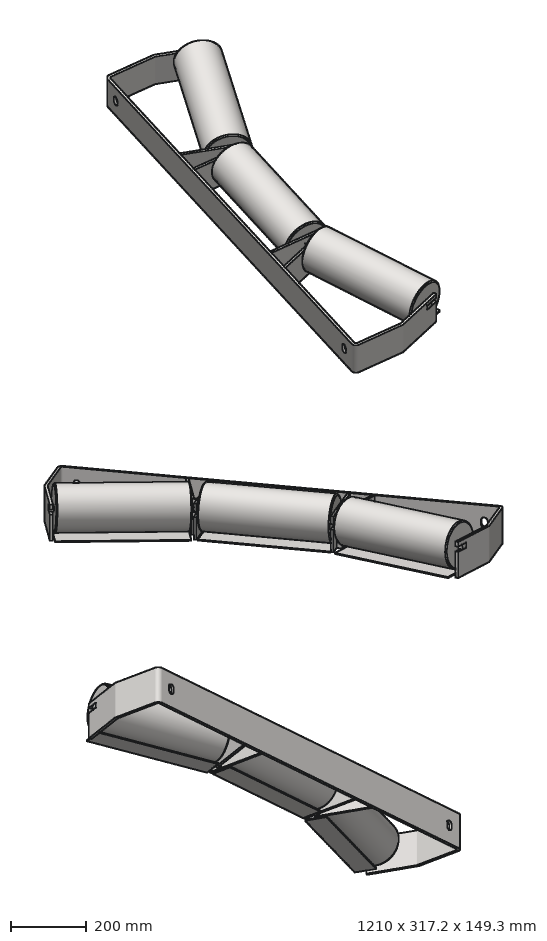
import cadquery as cq
import math

frame_width = 1210.0
frame_height = 102.0
sheet = 8.0
bracket_sheet = 7.0
bend_radius = 13.0
arm_tip_y = 289.0

hole_x = 554.0
hole_z = 53.0
hole_width = 18.0
hole_height = 28.0

roller_diameter = 132.0
roller_length = 360.0
rim_chamfer = 4.0
bracket_gap = 2.0
arm_gap = 5.0

tongue_width = 18.0
tongue_height = 15.0

centre_roller_y = 123.0
inner_axle_z = 71.0
side_roller_x = 384.0
side_roller_y = 195.0
trough_angle = 20.0
tilt_angle = 1.5

upright_top_y = 186.0
web_top_y = 152.0

strip_width = 60.0
strip_thickness = 4.0
strip_drop = 74.0

half_width = frame_width / 2
roller_radius = roller_diameter / 2
leg_near = roller_length / 2 + bracket_gap
leg_far = leg_near + bracket_sheet
arm_near = roller_length / 2 + arm_gap
arm_far = arm_near + sheet
trough = math.radians(trough_angle)
side_roller_z = inner_axle_z + roller_length / 2 * math.sin(math.radians(tilt_angle))


def sheet_face_x(distance, y):
    """X, at a given Y, of a face square to the left roller, at a signed distance along its axis."""
    foot_x = -side_roller_x + distance * math.cos(trough)
    foot_y = side_roller_y - distance * math.sin(trough)
    return foot_x + (y - foot_y) * math.tan(trough)


def extrude_plan(points):
    return cq.Workplane("XY").polyline(points).close().extrude(frame_height)


def mirror_x(body):
    return body.mirror("YZ")


def place_centre(body):
    return body.translate((0, centre_roller_y, inner_axle_z))


def place_left(body):
    tilted = body.rotate((0, 0, 0), (0, 1, 0), tilt_angle)
    turned = tilted.rotate((0, 0, 0), (0, 0, 1), -trough_angle)
    return turned.translate((-side_roller_x, side_roller_y, side_roller_z))


def place_right(body):
    return mirror_x(place_left(body))


def make_roller(left_reach, right_reach):
    drum = (
        cq.Workplane("YZ", origin=(-roller_length / 2, 0, 0))
        .circle(roller_radius)
        .extrude(roller_length)
        .faces("<X or >X")
        .chamfer(rim_chamfer)
    )
    axle = (
        cq.Workplane("YZ", origin=(-left_reach, 0, 0))
        .rect(tongue_width, tongue_height)
        .extrude(left_reach + right_reach)
    )
    return drum.union(axle)


def make_strip():
    return (
        cq.Workplane("XY")
        .box(roller_length, strip_width, strip_thickness, centered=(True, False, False))
        .translate((0, 0, -strip_drop))
    )


def make_slot_cutter():
    slot_reach = arm_far + sheet
    slot_length = roller_diameter
    return (
        cq.Workplane("XY")
        .box(2 * slot_reach, slot_length, tongue_height, centered=(True, False, True))
        .translate((0, -tongue_width / 2, 0))
    )


def make_frame():
    arm_foot_x = -side_roller_x - arm_far * math.cos(trough)
    arm_foot_y = side_roller_y + arm_far * math.sin(trough)
    knee_y = arm_foot_y - (half_width + arm_foot_x) / math.tan(trough)
    tip_x = sheet_face_x(-arm_far, arm_tip_y)
    outside = [(0, 0), (-half_width, 0), (-half_width, knee_y), (tip_x, arm_tip_y)]
    inside = [
        (tip_x + sheet * math.cos(trough), arm_tip_y - sheet * math.sin(trough)),
        (-half_width + sheet, knee_y - sheet * math.tan(trough / 2)),
        (-half_width + sheet, sheet),
        (0, sheet),
    ]
    half = extrude_plan(outside + inside)

    def bend_edge(x, y):
        return cq.selectors.NearestToPointSelector((x, y, frame_height / 2))

    for outer, inner in zip(outside[1:3], inside[2:0:-1]):
        half = half.edges(bend_edge(*outer)).fillet(bend_radius)
        half = half.edges(bend_edge(*inner)).fillet(bend_radius - sheet)
    frame = half.union(mirror_x(half))

    holes = (
        cq.Workplane("XZ")
        .pushPoints([(-hole_x, hole_z), (hole_x, hole_z)])
        .slot2D(hole_height, hole_width, 90)
        .extrude(-sheet)
    )
    frame = frame.cut(holes)
    for place in (place_left, place_right):
        frame = frame.cut(place(make_slot_cutter()))
    return frame


def make_left_bracket():
    web_bottom_y = web_top_y - bracket_sheet
    leg_and_web = extrude_plan([
        (sheet_face_x(leg_near, sheet), sheet),
        (sheet_face_x(leg_near, web_top_y), web_top_y),
        (-leg_far, web_top_y),
        (-leg_far, web_bottom_y),
        (sheet_face_x(leg_far, web_bottom_y), web_bottom_y),
        (sheet_face_x(leg_far, sheet), sheet),
    ])
    upright = extrude_plan([
        (-leg_far, sheet),
        (-leg_far, upright_top_y),
        (-leg_near, upright_top_y),
        (-leg_near, sheet),
    ])
    leg_and_web = leg_and_web.cut(place_left(make_slot_cutter()))
    upright = upright.cut(place_centre(make_slot_cutter()))
    return leg_and_web.union(upright)


frame = make_frame()
left_bracket = make_left_bracket()
brackets = [left_bracket, mirror_x(left_bracket)]

side_roller = make_roller(arm_far, leg_far)
centre_roller = make_roller(leg_far, leg_far)
rollers = [place_left(side_roller), place_centre(centre_roller), place_right(side_roller)]

strips = [place(make_strip()) for place in (place_left, place_centre, place_right)]

bodies = [frame] + brackets + rollers + strips
result = cq.Compound.makeCompound([body.val() for body in bodies])